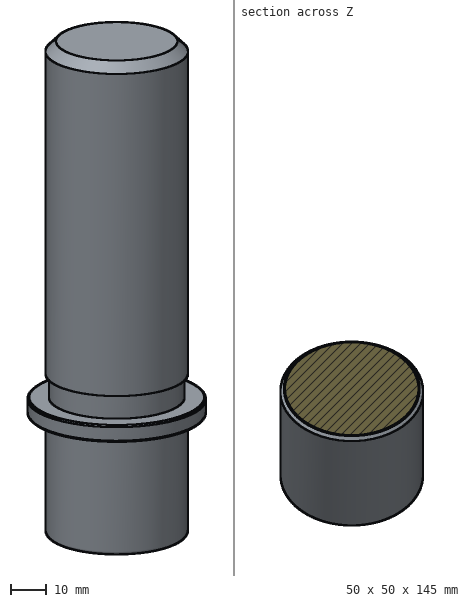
import cadquery as cq

total_length = 145.0
pin_diameter = 40.0
collar_diameter = 50.0
neck_diameter = 38.0
undercut_diameter = 37.5

collar_bottom = 35.0
collar_thickness = 5.0
neck_length = 7.0

tip_chamfer = 3.0
base_fillet = 1.0
collar_chamfer = 0.5
undercut_length = 0.5
undercut_chamfer = 1.0

pin_radius = pin_diameter / 2
collar_top = collar_bottom + collar_thickness
shank_bottom = collar_top + neck_length
base_top = collar_bottom - undercut_length


def cylinder(radius, bottom, top):
    """Solid cylinder on the Z axis between two heights."""
    return cq.Workplane("XY").workplane(offset=bottom).circle(radius).extrude(top - bottom)


def make_base():
    """Lower pin section, rounded at the bottom and chamfered below the collar."""
    base = cylinder(pin_radius, 0, base_top)
    base = base.faces(">Z").edges().chamfer(undercut_chamfer)
    return base.faces("<Z").edges().fillet(base_fillet)


def make_collar():
    """Locating flange with both rims chamfered."""
    collar = cylinder(collar_diameter / 2, collar_bottom, collar_top)
    return collar.edges().chamfer(collar_chamfer)


def make_shank():
    """Long upper pin section with a lead-in chamfer at the tip."""
    shank = cylinder(pin_radius, shank_bottom, total_length)
    return shank.faces(">Z").edges().chamfer(tip_chamfer)


def make_neck():
    """Reduced section between the collar and the shank."""
    return cylinder(neck_diameter / 2, collar_top, shank_bottom)


def make_undercut():
    """Short relief groove between the base and the collar."""
    return cylinder(undercut_diameter / 2, base_top, collar_bottom)


lower_pin = make_base().union(make_undercut()).union(make_collar())
result = lower_pin.union(make_neck()).union(make_shank())